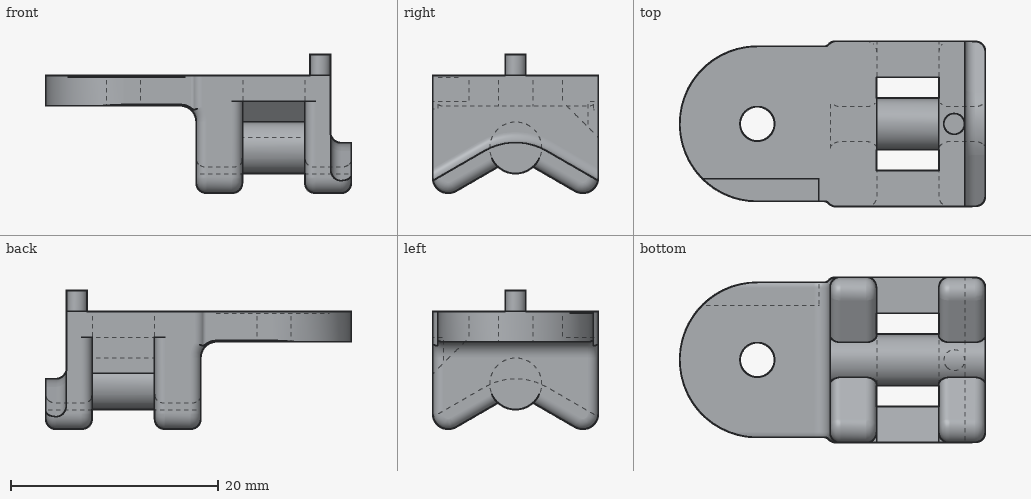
import cadquery as cq
import math

total_length = 29.5
body_width = 16.0
leg_bottom = -11.4

plate_width = 15.0
plate_thickness = 2.95
hole_diameter = 3.3

leg_thickness = 4.48
front_leg_x = 14.5
rear_leg_x = total_length - leg_thickness
body_end_x = 27.5
slab_thickness = 2.5
ceiling_angle = math.radians(45)

v_angle = math.radians(30)
tip_radius = 1.5
edge_radius = 1.0
plate_to_leg_radius = 1.5

shoulder_radius = 1.0
shoulder_blend_radius = 0.45
shoulder_x = 15.1

flange_top = -6.5
flange_crown_radius = 6.0
rod_radius = 2.5
rod_z = -7.0
pin_radius = 1.0
pin_height = 2.0
window_width = 9.0
recess_end_x = 13.42
recess_inner_y = -5.28
recess_depth = 0.2

half_body = body_width / 2
half_plate = plate_width / 2
gap_start_x = front_leg_x + leg_thickness
gap_length = rear_leg_x - gap_start_x


def half_leg(x_start, x_end):
    """Leg-shaped slice of the Y >= 0 half, from x_start to x_end."""
    tip_y = half_body - tip_radius
    tip_z = leg_bottom + tip_radius
    slope_y = tip_y - tip_radius * math.sin(v_angle)
    slope_z = tip_z - tip_radius * math.cos(v_angle)
    arc_angle = (math.pi / 2 - v_angle) / 2
    arc_mid = (
        tip_y + tip_radius * math.sin(arc_angle),
        tip_z - tip_radius * math.cos(arc_angle),
    )
    return (
        cq.Workplane("YZ", origin=(x_start, 0, 0))
        .lineTo(half_body, 0)
        .lineTo(half_body, tip_z)
        .threePointArc(arc_mid, (slope_y, slope_z))
        .lineTo(0, slope_z + slope_y * math.tan(v_angle))
        .close()
        .extrude(x_end - x_start)
    )


def both_halves(half):
    """Join a Y >= 0 half to its mirror image."""
    return half.union(half.mirror("XZ"))


def outline():
    """Plan outline of the plate, its shoulders and the front leg."""
    corner_y = half_body - shoulder_radius
    blend_y = half_plate + shoulder_blend_radius
    centre_distance = shoulder_radius + shoulder_blend_radius
    centre_dy = blend_y - corner_y
    centre_dx = math.sqrt(centre_distance**2 - centre_dy**2)
    blend_x = shoulder_x - centre_dx
    turn = math.atan2(centre_dx, centre_dy)

    def on_blend(angle):
        return (
            blend_x + shoulder_blend_radius * math.sin(angle),
            blend_y - shoulder_blend_radius * math.cos(angle),
        )

    def on_corner(angle):
        return (
            shoulder_x - shoulder_radius * math.sin(angle),
            corner_y + shoulder_radius * math.cos(angle),
        )

    half = (
        cq.Workplane("XY", origin=(0, 0, leg_bottom))
        .threePointArc(
            (half_plate * (1 - math.sqrt(0.5)), half_plate * math.sqrt(0.5)),
            (half_plate, half_plate),
        )
        .lineTo(blend_x, half_plate)
        .threePointArc(on_blend(turn / 2), on_blend(turn))
        .threePointArc(on_corner(turn / 2), on_corner(0))
        .lineTo(gap_start_x, half_body)
        .lineTo(gap_start_x, 0)
        .close()
        .extrude(-leg_bottom)
    )
    return both_halves(half)


def round_face_rim(half, face):
    """Round a leg face along its tangent side, tip and slope, leaving the top edge sharp."""
    return half.faces(face).edges("|Z and >Y").fillet(edge_radius)


def plate_and_front_leg():
    """Plate running into the front leg through a concave arc, with one rounded edge along both."""
    arc_x = front_leg_x - plate_to_leg_radius
    arc_z = -plate_thickness - plate_to_leg_radius
    arc_mid = (
        arc_x + plate_to_leg_radius * math.sqrt(0.5),
        arc_z + plate_to_leg_radius * math.sqrt(0.5),
    )
    below_plate = (
        cq.Workplane("XZ")
        .moveTo(0, -plate_thickness)
        .lineTo(arc_x, -plate_thickness)
        .threePointArc(arc_mid, (front_leg_x, arc_z))
        .lineTo(front_leg_x, leg_bottom)
        .lineTo(0, leg_bottom)
        .close()
        .extrude(-body_width)
    )
    half = half_leg(0, gap_start_x).cut(below_plate)
    side_point = (front_leg_x, half_body, leg_bottom / 2)
    half = half.edges(cq.selectors.NearestToPointSelector(side_point)).fillet(edge_radius)
    half = round_face_rim(half, ">X")
    return both_halves(half).intersect(outline())


def above_flange():
    """Space over the sloping rear flange, with a rounded inner bottom edge."""
    crown_z = flange_top - flange_crown_radius
    tangent_y = flange_crown_radius * math.sin(v_angle)
    tangent_z = crown_z + flange_crown_radius * math.cos(v_angle)
    outer_z = tangent_z - (body_width - tangent_y) * math.tan(v_angle)
    return (
        cq.Workplane("YZ", origin=(body_end_x, 0, 0))
        .moveTo(-body_width, 0)
        .lineTo(-body_width, outer_z)
        .lineTo(-tangent_y, tangent_z)
        .threePointArc((0, flange_top), (tangent_y, tangent_z))
        .lineTo(body_width, outer_z)
        .lineTo(body_width, 0)
        .close()
        .extrude(2 * (total_length - body_end_x))
        .faces("<X")
        .edges("not(|Z or >Z)")
        .fillet(edge_radius)
    )


def rear_leg():
    """Rear leg, cut back above its flange to the end of the body."""
    half = half_leg(rear_leg_x, total_length)
    for face in ("<X", ">X"):
        half = round_face_rim(half, face)
    return both_halves(half).cut(above_flange())


def slab():
    """Bridge over the gap between the legs."""
    middle_x = gap_start_x - edge_radius
    return cq.Workplane("XY").box(
        body_end_x - middle_x, body_width, slab_thickness, centered=(False, True, False)
    ).translate((middle_x, 0, -slab_thickness))


def sloped_ceiling():
    """Wedge under the slab on the +Y side, deepening from the window to the outer side."""
    inner_y = window_width / 2
    drop = (half_body - inner_y) * math.tan(ceiling_angle)
    return (
        cq.Workplane("YZ", origin=(gap_start_x, 0, 0))
        .moveTo(inner_y, -slab_thickness)
        .lineTo(half_body, -slab_thickness)
        .lineTo(half_body, -slab_thickness - drop)
        .close()
        .extrude(gap_length)
    )


window = cq.Workplane("XY").box(
    gap_length, window_width, 2 * slab_thickness, centered=(False, True, True)
).translate((gap_start_x, 0, 0))

rod = (
    cq.Workplane("YZ", origin=(front_leg_x, 0, rod_z))
    .circle(rod_radius)
    .extrude(total_length - front_leg_x)
    .cut(above_flange())
)

pin = (
    cq.Workplane("XY", origin=(body_end_x - pin_radius, 0, -slab_thickness))
    .circle(pin_radius)
    .extrude(slab_thickness + pin_height)
)

hole = (
    cq.Workplane("XY", origin=(half_plate, 0, -plate_thickness))
    .circle(hole_diameter / 2)
    .extrude(plate_thickness)
)

label_recess = cq.Workplane("XY").box(
    recess_end_x, recess_inner_y + half_plate, recess_depth, centered=False
).translate((0, -half_plate, -recess_depth))

result = (
    plate_and_front_leg()
    .union(rear_leg())
    .union(slab())
    .union(sloped_ceiling())
    .cut(window)
    .union(rod)
    .union(pin)
    .cut(hole)
    .cut(label_recess)
)